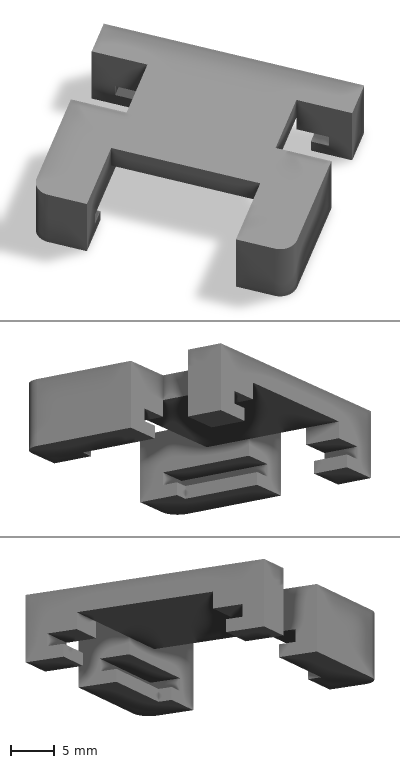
import cadquery as cq

width = 31.3
depth = 27.17
height = 8.0
corner_radius = 2.05

plate_thickness = 2.97
leg_width = 6.7
front_opening_depth = 9.1

notch_start = 4.5
notch_length = 7.8

lip_height = 1.53
groove_height = 1.5
lip_side_width = 4.98
groove_side_wall = 2.82
lip_front_width = 5.05
groove_front_wall = 3.1

front_y = -depth / 2
rear_y = depth / 2
channel_width = width - 2 * leg_width


def box(x_min, x_max, y_min, y_max, z_min, z_max):
    """Axis-aligned box given by its limits."""
    size = (x_max - x_min, y_max - y_min, z_max - z_min)
    return cq.Workplane("XY").box(*size, centered=False).translate((x_min, y_min, z_min))


def centred_box(box_width, y_min, y_max, z_min, z_max):
    """Box that is symmetric about the YZ plane."""
    return box(-box_width / 2, box_width / 2, y_min, y_max, z_min, z_max)


body = centred_box(width, front_y, rear_y, 0, height)
body = body.edges("|Z and <Y").fillet(corner_radius)

body = body.cut(centred_box(channel_width, front_y, rear_y, 0, height - plate_thickness))
body = body.cut(centred_box(channel_width, front_y, front_y + front_opening_depth, 0, height))

notch_rear_y = rear_y - notch_start
for x_min in (-width / 2, width / 2 - leg_width):
    body = body.cut(
        box(x_min, x_min + leg_width, notch_rear_y - notch_length, notch_rear_y, 0, height)
    )

mouth_width = width - 2 * lip_side_width
groove_width = width - 2 * groove_side_wall
groove_top = lip_height + groove_height
body = body.cut(centred_box(mouth_width, front_y + lip_front_width, rear_y, 0, lip_height))
body = body.cut(
    centred_box(groove_width, front_y + groove_front_wall, rear_y, lip_height, groove_top)
)

result = body